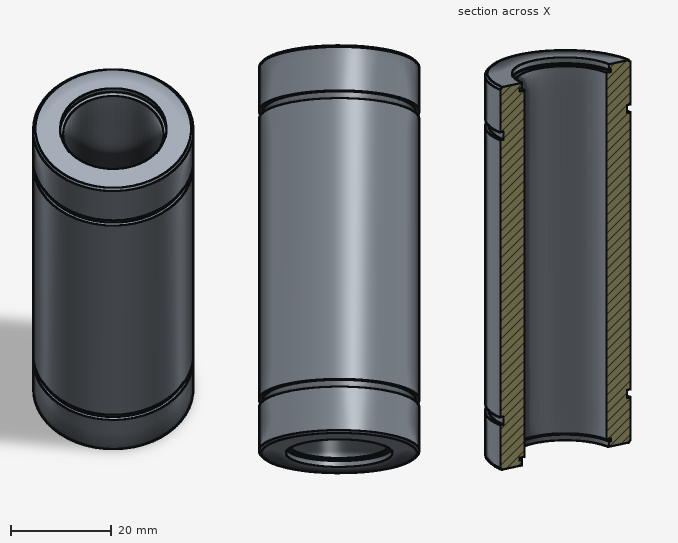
import cadquery as cq

length = 80.0
outer_diameter = 32.0
bore_diameter = 20.0
edge_chamfer = 0.5

lip_diameter = 21.2
lip_thickness = 1.2
undercut_diameter = 22.4
seat_depth = 1.7

groove_diameter = 30.5
groove_width = 1.6
groove_end_distance = 9.4


def cylinder(diameter, height, bottom):
    return cq.Workplane("XY").workplane(offset=bottom).circle(diameter / 2).extrude(height)


def ring_groove(bottom):
    return cylinder(outer_diameter, groove_width, bottom).cut(
        cylinder(groove_diameter, groove_width, bottom)
    )


bottom_face = -length / 2
top_face = length / 2

result = cylinder(outer_diameter, length, bottom_face).edges().chamfer(edge_chamfer)
result = result.cut(cylinder(bore_diameter, length, bottom_face))

undercut_width = seat_depth - lip_thickness
for seat_bottom, undercut_bottom in (
    (bottom_face, bottom_face + lip_thickness),
    (top_face - seat_depth, top_face - seat_depth),
):
    result = result.cut(cylinder(lip_diameter, seat_depth, seat_bottom))
    result = result.cut(cylinder(undercut_diameter, undercut_width, undercut_bottom))

lower_groove = bottom_face + groove_end_distance
upper_groove = top_face - groove_end_distance - groove_width
for groove_bottom in (lower_groove, upper_groove):
    result = result.cut(ring_groove(groove_bottom))